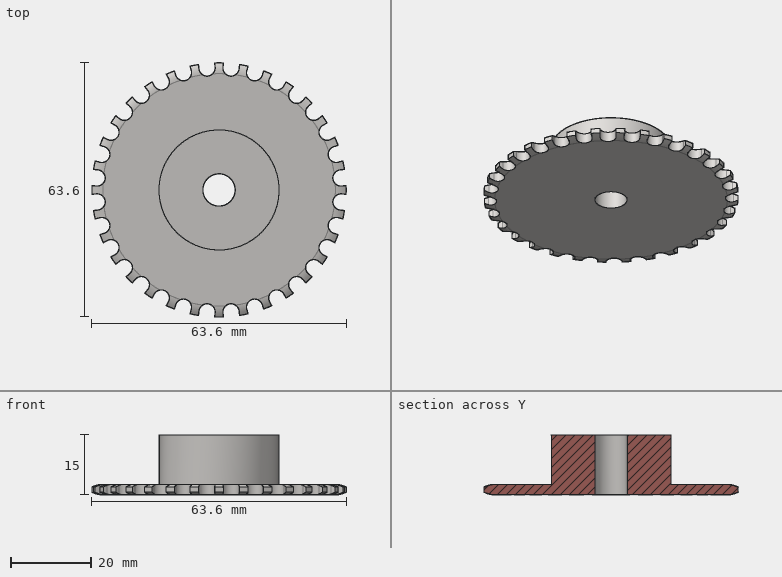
import cadquery as cq
import math

tooth_count = 32
tip_diameter = 63.6
root_diameter = 57.25
roller_diameter = 4.0
plate_thickness = 2.7
hub_diameter = 30.0
total_height = 15.0
bore_diameter = 8.0

flank_length = 2.75
flank_drop = 0.7

tip_radius = tip_diameter / 2
root_radius = root_diameter / 2
roller_radius = roller_diameter / 2
roller_centre = root_radius + roller_radius
tooth_angle = 360 / tooth_count
flat_radius = tip_radius - flank_length
cut_overrun = 1.3


def flank_arc_midpoint():
    """Radial inset and drop halfway along the arc that leaves the flat face tangentially."""
    arc_radius = (flank_length**2 + flank_drop**2) / (2 * flank_drop)
    half_angle = math.asin(flank_length / arc_radius) / 2
    return arc_radius * math.sin(half_angle), arc_radius * (1 - math.cos(half_angle))


def toothless_plate():
    """Disc whose rim narrows to the tooth tips along an arc on each face."""
    mid_length, mid_drop = flank_arc_midpoint()
    section = (
        cq.Workplane("XZ")
        .lineTo(flat_radius, 0)
        .threePointArc((flat_radius + mid_length, mid_drop), (tip_radius, flank_drop))
        .lineTo(tip_radius, plate_thickness - flank_drop)
        .threePointArc(
            (flat_radius + mid_length, plate_thickness - mid_drop),
            (flat_radius, plate_thickness),
        )
        .lineTo(0, plate_thickness)
        .close()
    )
    return section.revolve(360, (0, 0, 0), (0, 1, 0))


def roller_gaps():
    """Round-bottomed gaps with parallel sides, centred between the teeth."""
    outer_end = tip_radius + cut_overrun
    gap = (
        cq.Workplane("XY")
        .moveTo(outer_end, -roller_radius)
        .lineTo(roller_centre, -roller_radius)
        .threePointArc((root_radius, 0), (roller_centre, roller_radius))
        .lineTo(outer_end, roller_radius)
        .close()
        .extrude(plate_thickness)
        .val()
    )
    gaps = cq.Workplane("XY")
    for index in range(tooth_count):
        angle = (index + 0.5) * tooth_angle
        gaps = gaps.add(gap.rotate(cq.Vector(0, 0, 0), cq.Vector(0, 0, 1), angle))
    return cq.Compound.makeCompound(gaps.vals())


hub = cq.Workplane("XY").circle(hub_diameter / 2).extrude(total_height)
bore = cq.Workplane("XY").circle(bore_diameter / 2).extrude(total_height)

result = toothless_plate().cut(cq.Workplane(roller_gaps())).union(hub).cut(bore)